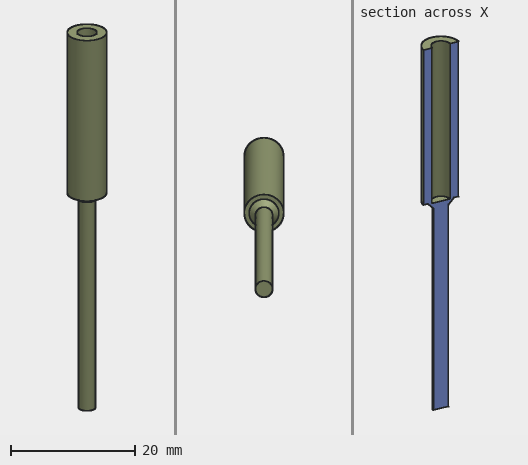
import cadquery as cq

total_length = 66.5
sleeve_diameter = 6.4
sleeve_length = 28.45
taper_top_diameter = 4.8
taper_length = 1.05
pin_diameter = 2.8
bore_diameter = 3.2
bore_depth = sleeve_length

sleeve_bottom = total_length - sleeve_length
taper_bottom = sleeve_bottom - taper_length

profile = [
    (0, 0),
    (pin_diameter / 2, 0),
    (pin_diameter / 2, taper_bottom),
    (taper_top_diameter / 2, sleeve_bottom),
    (sleeve_diameter / 2, sleeve_bottom),
    (sleeve_diameter / 2, total_length),
    (0, total_length),
]
body = cq.Workplane("XZ").polyline(profile).close().revolve(360, (0, 0, 0), (0, 1, 0))

result = body.faces(">Z").workplane().hole(bore_diameter, bore_depth)